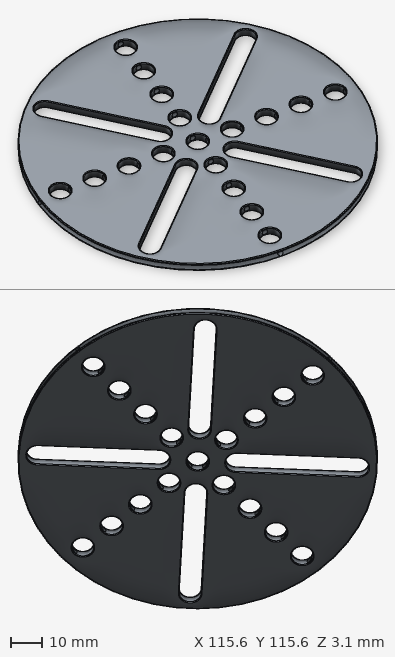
import cadquery as cq
import math

plate_diameter = 115.6
plate_thickness = 3.1
edge_chamfer = 0.29
plate_radius = plate_diameter / 2
half_thickness = plate_thickness / 2

groove_width = 2.0
groove_depth = groove_width / 2

hole_diameter = 7.0
hole_pitch = 12.5
holes_per_arm = 4
slot_inner_radius = hole_pitch
slot_outer_radius = 51.6
slot_angles = (45, 135, 225, 315)

cross_bore_diameter = 2.0

seam_angle = 30


def make_plate():
    """Disc revolved from its half section, which includes the rim groove."""
    half_groove = groove_width / 2
    section = (
        cq.Workplane("XZ")
        .moveTo(0, -half_thickness)
        .lineTo(plate_radius, -half_thickness)
        .lineTo(plate_radius, -half_groove)
        .lineTo(plate_radius - groove_depth, 0)
        .lineTo(plate_radius, half_groove)
        .lineTo(plate_radius, half_thickness)
        .lineTo(0, half_thickness)
        .close()
    )
    disc = section.revolve(360, (0, 0, 0), (0, 1, 0))
    return disc.rotate((0, 0, 0), (0, 0, 1), seam_angle)


def hole_centres():
    """Centre hole plus equally spaced holes along X and Y."""
    centres = [(0, 0)]
    for step in range(1, holes_per_arm + 1):
        reach = step * hole_pitch
        centres += [(reach, 0), (-reach, 0), (0, reach), (0, -reach)]
    return centres


def cut_slots(body):
    """Radial slots, as wide as the holes, on the diagonals."""
    middle_radius = (slot_inner_radius + slot_outer_radius) / 2
    slot_length = slot_outer_radius - slot_inner_radius + hole_diameter
    for angle in slot_angles:
        direction = math.radians(angle)
        middle = (middle_radius * math.cos(direction), middle_radius * math.sin(direction))
        slot = (
            cq.Workplane("XY")
            .center(*middle)
            .slot2D(slot_length, hole_diameter, angle)
            .extrude(half_thickness, both=True)
        )
        body = body.cut(slot)
    return body


def make_cross_bore(plane, axis):
    """Bore through the whole plate along the given axis, which is normal to the plane."""
    bore = cq.Workplane(plane).circle(cross_bore_diameter / 2).extrude(plate_diameter, both=True)
    return bore.rotate((0, 0, 0), axis, seam_angle)


holes = cq.Workplane("XY").pushPoints(hole_centres()).circle(hole_diameter / 2)
plate = make_plate().cut(holes.extrude(half_thickness, both=True))
plate = cut_slots(plate)

plate = plate.faces("|Z").edges().chamfer(edge_chamfer)

plate = plate.cut(make_cross_bore("YZ", (1, 0, 0)))
plate = plate.cut(make_cross_bore("XZ", (0, 1, 0)))

result = plate